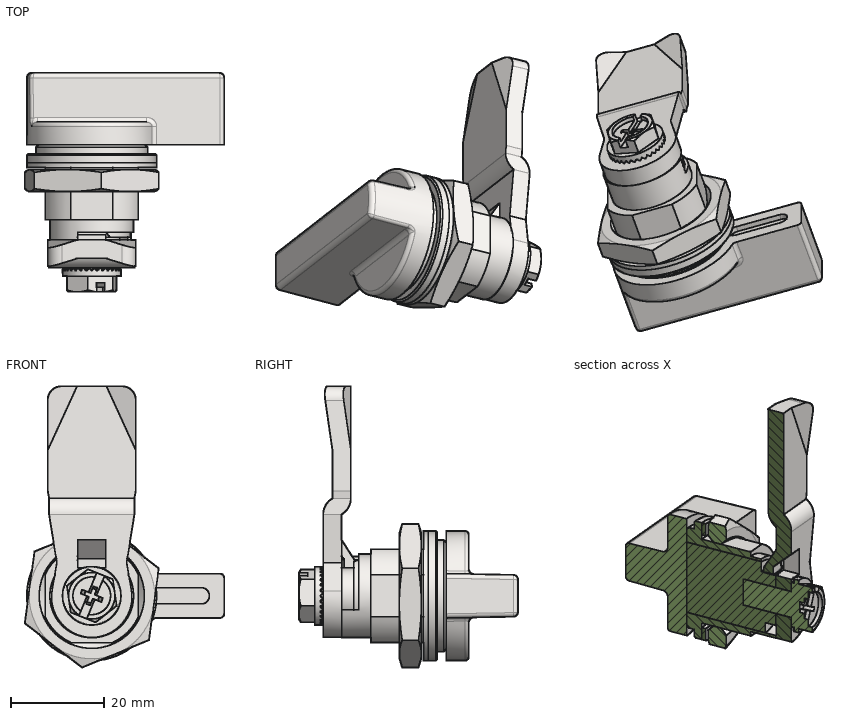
import cadquery as cq
import math


handle_top = 19.35
disc_top = 8.75
disc_bottom = 3.85
flange_top = 2.0
flange_bottom = 0.0
gasket_bottom = -1.0
nut_top = -1.45
nut_bottom = -6.15
body_end = -12.3
notch_floor = -14.95
spindle_shoulder = -15.95
tube_end = -18.55

disc_radius = 13.95
disc_edge_fillet = 0.9
grip_width = 9.55
grip_end = 28.5
grip_draft = 1.0
grip_end_fillet = 0.95
grip_top_fillet = 1.1
grip_root_fillet = 1.1
round_end_fillet = 0.8
groove_width = 3.5
groove_end = 25.3
groove_depth = 1.2

collar_radius = 12.05
collar_chamfer = 0.55
flange_radius = 13.95
flange_chamfer = 0.35
body_radius = 11.0
body_flats = 20.1
tube_radius = 9.0
bore_radius = 8.3

nut_across_flats = 26.95
nut_rotation = 22.3
nut_chamfer = 0.6
nut_bore_mouth = 11.3
nut_bore_chamfer = 1.25

shaft_radius = 6.0
pocket_slope_run = 0.9

cam_thickness = 4.0
cam_offset = 2.0
cam_front = tube_end - cam_thickness
cam_top = 45.05
cam_corner_radius = 3.0
blade_half_width = 9.5
blade_taper_start = 22.6
bend_half_width = 9.2
bend_start = 17.5
waist_half_width = 7.5
waist_height = 7.1
eye_side = 8.5
eye_side_height = 1.1
eye_bottom = -8.95
fold_top_x = 3.15
fold_bottom_z = 31.2
fold_depth = 2.0

tab_half_width = 3.0
tab_bottom = 6.05
tab_knee = 7.9
tab_recess_top = 12.05
tab_recess_depth = 4.55
tab_height = 3.1
tab_outer_knee = 7.2
tab_outer_top = 12.05

shank_radius = 3.0
shank_length = 12.1
washer_radius = 6.3
washer_height = 1.8
washer_bottom = cam_front - washer_height
tooth_count = 32
tooth_depth = 0.6
tooth_ring_radius = 5.3
head_height = 3.4
head_end = washer_bottom - head_height
head_across_flats = 10.0
head_rotation = 38.2
head_chamfer = 0.4
dish_radius = 4.05
dish_depth = 0.95
slot_width = 1.8
slot_depth = 1.95
slot_rotation = 67.5
cross_length = 4.85
cross_bottom_length = 3.15
cross_width = 0.9
cross_depth = 3.15


def section(y):
    """Workplane across the lock axis; a positive extrude runs toward -Y."""
    return cq.Workplane("XZ", origin=(0, y, 0))


def cylinder(radius, y_from, y_to):
    return section(y_from).circle(radius).extrude(y_from - y_to)


def ring(outer_radius, inner_radius, y_from, y_to):
    return section(y_from).circle(outer_radius).circle(inner_radius).extrude(y_from - y_to)


def threaded_body(y_from, y_to):
    """Round body of the housing with four flats."""
    square = section(y_from).rect(body_flats, body_flats).extrude(y_from - y_to)
    return cylinder(body_radius, y_from, y_to).intersect(square)


def hexagon(across_flats, y_from, y_to, rotation):
    corner_diameter = across_flats / math.cos(math.radians(30))
    prism = section(y_from).polygon(6, corner_diameter).extrude(y_from - y_to)
    return prism.rotate((0, 0, 0), (0, 1, 0), -rotation)


def bevelled_disc(across_flats, y_from, y_to, bevel_height):
    """Disc around a hexagon, coned at its -Y end to bevel the hexagon's corners."""
    flat_radius = across_flats / 2
    corner_radius = flat_radius / math.cos(math.radians(30))
    profile = [
        (0, y_from),
        (corner_radius, y_from),
        (corner_radius, y_to + bevel_height),
        (flat_radius, y_to),
        (0, y_to),
    ]
    return cq.Workplane("XY").polyline(profile).close().revolve(360, (0, 0, 0), (0, 1, 0))


def build_handle():
    disc = cylinder(disc_radius, disc_top, disc_bottom).faces(">Y").edges().fillet(disc_edge_fillet)

    grip_height = handle_top - disc_bottom
    root_half_width = grip_width / 2
    top_half_width = root_half_width - grip_height * math.tan(math.radians(grip_draft))
    grip_profile = [
        (disc_bottom, -root_half_width),
        (disc_bottom, root_half_width),
        (handle_top, top_half_width),
        (handle_top, -top_half_width),
    ]
    grip = cq.Workplane("YZ", origin=(-disc_radius, 0, 0)).polyline(grip_profile).close()
    grip = grip.extrude(disc_radius + grip_end)
    straight_part = section(handle_top).center(grip_end / 2, 0).rect(grip_end, 2 * disc_radius)
    footprint = cylinder(disc_radius, handle_top, disc_bottom).union(straight_part.extrude(grip_height))
    grip = grip.intersect(footprint)
    grip = grip.faces(">X").edges("not(|Z)").fillet(grip_end_fillet)
    handle = disc.union(grip)

    for side in (1, -1):
        root_edges = cq.selectors.BoxSelector(
            (-disc_radius, disc_bottom + grip_root_fillet, side * (root_half_width - 0.6)),
            (disc_radius, disc_top + 0.05, side * (root_half_width + 0.05)),
        )
        handle = handle.edges(root_edges).fillet(grip_root_fillet)
    round_end_edges = cq.selectors.BoxSelector(
        (-disc_radius - 0.6, disc_top + 0.3, -root_half_width),
        (-disc_radius + 1.8, handle_top - 0.05, root_half_width),
    )
    handle = handle.edges(round_end_edges).edges("not(|Z)").fillet(round_end_fillet)
    handle = handle.faces(">Y").edges().fillet(grip_top_fillet)

    groove_length = groove_end - collar_radius
    groove = (
        section(disc_bottom + groove_depth)
        .center(groove_end - groove_length / 2, 0)
        .slot2D(groove_length, groove_width)
        .extrude(groove_depth)
    )
    return handle.cut(groove)


def build_housing():
    collar = cylinder(collar_radius, disc_bottom, flange_top).faces(">Y").chamfer(collar_chamfer)
    flange = cylinder(flange_radius, flange_top, flange_bottom).faces(">Y").chamfer(flange_chamfer)
    body = threaded_body(flange_bottom, body_end)
    tube = cylinder(tube_radius, body_end, tube_end)
    bore = cylinder(bore_radius, disc_bottom, tube_end)

    notch_side = tube_radius + tab_half_width
    notch_centre = notch_side / 2 - tab_half_width
    notch = (
        section(notch_floor)
        .center(notch_centre, notch_centre)
        .rect(notch_side, notch_side)
        .extrude(notch_floor - tube_end)
    )
    return collar.union(flange).union(body).union(tube).cut(bore).cut(notch)


def build_gasket():
    return ring(flange_radius, body_radius, flange_bottom, gasket_bottom)


def build_nut():
    nut = hexagon(nut_across_flats, nut_top, nut_bottom, nut_rotation)
    bevel = bevelled_disc(nut_across_flats, nut_top, nut_bottom, nut_chamfer)
    mid_height = (nut_top + nut_bottom) / 2
    nut = nut.intersect(bevel).intersect(bevel.mirror("XZ", (0, mid_height, 0)))
    nut = nut.cut(threaded_body(nut_top, nut_bottom))

    for face, inward in ((nut_top, -1), (nut_bottom, 1)):
        profile = [
            (0, face),
            (nut_bore_mouth, face),
            (nut_bore_mouth - nut_bore_chamfer, face + inward * nut_bore_chamfer),
            (0, face + inward * nut_bore_chamfer),
        ]
        cone = cq.Workplane("XY").polyline(profile).close().revolve(360, (0, 0, 0), (0, 1, 0))
        nut = nut.cut(cone)
    return nut


def build_spindle():
    spindle = cylinder(bore_radius, disc_bottom, spindle_shoulder)
    spindle = spindle.union(cylinder(shaft_radius, spindle_shoulder, tube_end))

    pocket_profile = [
        (-tab_half_width, notch_floor),
        (tab_half_width, notch_floor),
        (tab_half_width + pocket_slope_run, spindle_shoulder),
        (-tab_half_width, spindle_shoulder),
    ]
    pocket_height = bore_radius - tab_bottom
    pocket = cq.Workplane("XY", origin=(0, 0, tab_bottom)).polyline(pocket_profile).close()
    spindle = spindle.cut(pocket.extrude(pocket_height))
    return spindle.cut(cylinder(shank_radius, cam_front + shank_length, tube_end))


def tetrahedron(base, apex):
    """Solid on a triangular base, coming to a point at the apex."""
    a, b, c = base
    faces = []
    for triangle in ((a, b, c), (a, b, apex), (b, c, apex), (c, a, apex)):
        outline = cq.Wire.makePolygon([cq.Vector(*p) for p in triangle], close=True)
        faces.append(cq.Face.makeFromWires(outline))
    return cq.Workplane(obj=cq.Solid.makeSolid(cq.Shell.makeShell(faces)))


def fold_wedge(side, y):
    """Wedge between a blade face at y and the corner plane folded toward -Y."""
    corner = (side * blade_half_width, y, cam_top)
    base = (
        (side * fold_top_x, y, cam_top),
        (side * blade_half_width, y, fold_bottom_z),
        corner,
    )
    return tetrahedron(base, (corner[0], y - fold_depth, cam_top))


def cam_outline():
    """Cam as seen along the lock axis, thick enough to cover every bend."""
    bend_end = bend_start + math.sqrt(cam_thickness**2 - cam_offset**2)
    depth = 2 * (cam_thickness + cam_offset + fold_depth)
    outline = (
        section(cam_front + depth / 2)
        .moveTo(-blade_half_width, cam_top)
        .lineTo(blade_half_width, cam_top)
        .lineTo(blade_half_width, blade_taper_start)
        .lineTo(bend_half_width, bend_end)
        .lineTo(bend_half_width, bend_start)
        .lineTo(waist_half_width, waist_height)
        .lineTo(eye_side, eye_side_height)
        .threePointArc((0, eye_bottom), (-eye_side, eye_side_height))
        .lineTo(-waist_half_width, waist_height)
        .lineTo(-bend_half_width, bend_start)
        .lineTo(-bend_half_width, bend_end)
        .lineTo(-blade_half_width, blade_taper_start)
        .close()
        .extrude(depth)
    )
    return outline.edges("|Y and >Z").fillet(cam_corner_radius)


def build_cam():
    blade_front = cam_front + cam_offset
    blade_back = blade_front + cam_thickness
    half_angle = math.acos(cam_offset / cam_thickness) / 2
    bend_end = bend_start + cam_thickness * math.sin(2 * half_angle)
    reach_y = cam_thickness * math.cos(half_angle)
    reach_z = cam_thickness * math.sin(half_angle)
    strip = (
        cq.Workplane("YZ", origin=(-blade_half_width, 0, 0))
        .moveTo(cam_front, eye_bottom)
        .lineTo(cam_front, bend_start)
        .threePointArc((tube_end - reach_y, bend_start + reach_z), (blade_front, bend_end))
        .lineTo(blade_front, cam_top)
        .lineTo(blade_back, cam_top)
        .lineTo(blade_back, bend_end)
        .threePointArc((blade_front + reach_y, bend_end - reach_z), (tube_end, bend_start))
        .lineTo(tube_end, eye_bottom)
        .close()
        .extrude(2 * blade_half_width)
    )

    for side in (-1, 1):
        strip = strip.union(fold_wedge(side, blade_front)).cut(fold_wedge(side, blade_back))
    cam = strip.intersect(cam_outline())

    tab_plane = cq.Workplane("YZ", origin=(-tab_half_width, 0, 0))
    tab_profile = [
        (tube_end, tab_bottom),
        (tube_end + tab_height, tab_bottom),
        (tube_end + tab_height, tab_outer_knee),
        (tube_end, tab_outer_top),
    ]
    recess_profile = [
        (cam_front, tab_bottom),
        (cam_front + tab_recess_depth, tab_bottom),
        (cam_front + tab_recess_depth, tab_knee),
        (cam_front, tab_recess_top),
    ]
    tab = tab_plane.polyline(tab_profile).close().extrude(2 * tab_half_width)
    recess = tab_plane.polyline(recess_profile).close().extrude(2 * tab_half_width)
    return cam.union(tab).cut(recess).cut(cylinder(shank_radius, tube_end, cam_front))


def build_screw():
    head = hexagon(head_across_flats, washer_bottom, head_end, head_rotation)
    head = head.intersect(bevelled_disc(head_across_flats, washer_bottom, head_end, head_chamfer))
    screw = cylinder(washer_radius, cam_front, washer_bottom).union(head)

    half_pitch = math.pi * washer_radius / tooth_count
    groove_profile = [(-half_pitch, cam_front), (half_pitch, cam_front), (0, cam_front - tooth_depth)]
    groove = (
        cq.Workplane("XY", origin=(0, 0, tooth_ring_radius))
        .polyline(groove_profile)
        .close()
        .extrude(washer_radius - tooth_ring_radius)
    )
    for i in range(tooth_count):
        screw = screw.cut(groove.rotate((0, 0, 0), (0, 1, 0), i * 360 / tooth_count))

    dish = cylinder(dish_radius, head_end + dish_depth, head_end)
    slot = section(head_end + slot_depth).rect(2 * washer_radius, slot_width).extrude(slot_depth)
    cross_profile = [
        (-cross_length / 2, head_end),
        (-cross_length / 2, head_end + dish_depth),
        (-cross_bottom_length / 2, head_end + cross_depth),
        (cross_bottom_length / 2, head_end + cross_depth),
        (cross_length / 2, head_end + dish_depth),
        (cross_length / 2, head_end),
    ]
    cross = cq.Workplane("XY").polyline(cross_profile).close().extrude(cross_width / 2, both=True)
    cross = cross.union(cross.rotate((0, 0, 0), (0, 1, 0), 90))
    drive = slot.union(cross).rotate((0, 0, 0), (0, 1, 0), -slot_rotation)
    screw = screw.cut(dish).cut(drive)
    return screw.union(cylinder(shank_radius, cam_front + shank_length, cam_front))


handle = build_handle()
housing = build_housing()
gasket = build_gasket()
nut = build_nut()
spindle = build_spindle()
cam = build_cam()
screw = build_screw()

result = cq.Compound.makeCompound(
    [
        handle.val(),
        housing.val(),
        gasket.val(),
        nut.val(),
        spindle.val(),
        cam.val(),
        screw.val(),
    ]
)